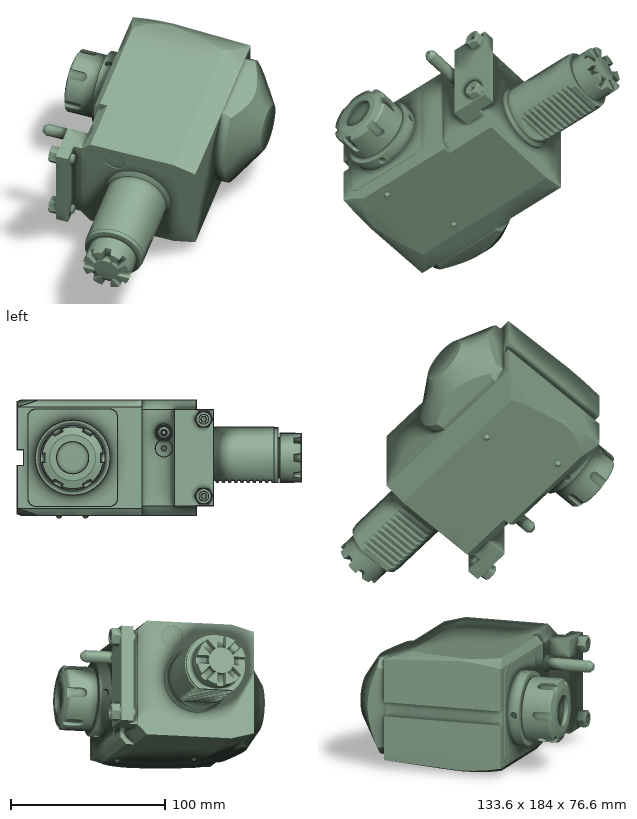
import cadquery as cq
import math


HOUSING_HALF_HEIGHT = 37.5
HOUSING_LENGTH = 116.1
HOUSING_LEFT = -41.7
HOUSING_RIGHT = 38.6
LEFT_BEVEL_X = 4.0
LEFT_BEVEL_Z = 4.5
FOOT_LENGTH = 35.2
FOOT_LEFT = -38.9
FOOT_BEVEL = 6.2
TAPER_START_X = 23.7
TAPER_ANGLE = 15.0
TAPER_SLOPE = math.tan(math.radians(TAPER_ANGLE))
RIGHT_HALF_HEIGHT = HOUSING_HALF_HEIGHT - (HOUSING_RIGHT - TAPER_START_X) * TAPER_SLOPE

CROWN_DEPTH = 12.7
CROWN_MID_X = -29.0
CROWN_PEAK_X = -14.0
CROWN_REAR_LEFT_Z = HOUSING_HALF_HEIGHT - LEFT_BEVEL_Z
CROWN_REAR_MID_Z = 35.2
CROWN_REAR_PEAK_Z = 36.3
CROWN_FRONT_LEFT_Z = 35.5
CROWN_FRONT_MID_Z = 39.9
CROWN_FRONT_PEAK_Z = 41.4
CROWN_FRONT_RIGHT_Z = 35.9
CUTTER_TOP_Z = HOUSING_HALF_HEIGHT + 10.0

REAR_SLOT_WIDTH = 10.0
REAR_SLOT_DEPTH = 4.0

SPINDLE_Y = 80.15
PAD_WIDTH = 58.0
PAD_HEIGHT = 63.0
PAD_CORNER = 5.0
PAD_THICKNESS = 0.5
RING_RADIUS = 24.3
RING_LEFT = -50.1
RING_HOLE_DIAMETER = 5.0
RING_HOLE_DEPTH = 4.0
RING_HOLE_COUNT = 4
RING_HOLE_X = -46.5
NUT_NECK_RADIUS = 19.0
NUT_RIGHT = -51.2
NUT_LEFT = -71.6
NUT_RADIUS = 20.9
NUT_FACE_RADIUS = 14.9
NUT_RIM_RADIUS = 20.0
NUT_RIM_SETBACK = 1.6
NUT_SHOULDER_SETBACK = 2.6
NUT_BORE_RADIUS = 10.4
NUT_BORE_DEPTH = 3.0
NUT_SLOT_COUNT = 6
NUT_SLOT_WIDTH = 6.2
NUT_SLOT_LENGTH = 13.7
NUT_SLOT_FLOOR_RADIUS = 17.9

CAP_RADIUS = 40.7
CAP_RIM_X = 45.0
CAP_END_X = 62.0
CAP_END_RADIUS = 15.8
CAP_REAR_Y = 111.3
CAP_HALF_HEIGHT = 32.7
CAP_TAPER_START_X = 41.4
CAP_TAPER_ANGLE = 17.0

FLANGE_RADIUS = 21.6
FLANGE_RIM = 1.2
FLANGE_LENGTH = 2.8
SHANK_GROOVE_RADIUS = 19.4
SHANK_GROOVE_LENGTH = 1.2
SHANK_RADIUS = 20.0
SHANK_BODY_LENGTH = 50.2
SHANK_TIP_RADIUS = 19.5
SHANK_LENGTH = 52.8
DRIVER_NECK_RADIUS = 13.0
DRIVER_START = 54.0
DRIVER_RADIUS = 16.0
DRIVER_END = 67.9
DRIVER_HUB_RADIUS = 8.4
DRIVER_SLOT_COUNT = 8
DRIVER_SLOT_FLOOR = 4.2
DRIVER_SLOT_MOUTH = 5.7
DRIVER_SLOT_DEPTH = 4.7

RACK_TIP_Z = -16.2
RACK_ROOT_Z = -14.6
RACK_PITCH = 4.0
RACK_FIRST_GROOVE_Y = -11.5
RACK_GROOVE_COUNT = 10
RACK_GROOVE_TOP = 3.0
RACK_GROOVE_FLOOR = 1.6
RACK_RUNOUT_Y = -4.5

BAR_LEFT = -52.7
BAR_LEG_RIGHT = -44.4
BAR_TOP_Y = 14.3
BAR_STEP_Y = 0.6
BAR_BOTTOM_Y = -11.1
BAR_HALF_HEIGHT = 31.1
SCREW_Y = -4.7
SCREW_Z = 24.9
SCREW_HEAD_FLATS = 10.2
SCREW_HEAD_HEIGHT = 5.7
SCREW_FACE_RADIUS = 4.9
SCREW_CROWN_LENGTH = 1.0
SCREW_RADIUS = 3.2
SCREW_TIP_RADIUS = 2.2
SCREW_TIP_LENGTH = 0.9
SCREW_END_X = -42.0
SCREW_RECESS_RADIUS = 3.2
SCREW_SOCKET_FLATS = 3.5
SCREW_RECESS_DEPTH = 0.6
SCREW_SOCKET_DEPTH = 2.5

PIN_Y = 21.1
PIN_Z = 16.3
PIN_RADIUS = 3.9
PIN_END_X = -71.6
PIN_TIP_RADIUS = 2.0
PIN_TIP_LENGTH = 2.6
PIN_COLLAR_RADIUS = 5.6
PIN_COLLAR_LENGTH = 2.0
PIN_COLLAR_BEVEL = 1.0
PIN_SOCKET_FLATS = 2.5
PIN_SOCKET_DEPTH = 2.0
PLUG_Z = 6.1
PLUG_RADIUS = 5.6
PLUG_DEPTH = 0.3
PLUG_SOCKET_FLATS = 3.2
PLUG_SOCKET_DEPTH = 2.0

RECESS_X = -16.2
RECESS_Z = 27.6
RECESS_RADIUS = 7.5
RECESS_DEPTH = 0.5
NIPPLE_PLACES = ((-30.4, 89.0), (16.6, 71.8))
NIPPLE_RADIUS = 2.0
NIPPLE_TIP_RADIUS = 0.6
NIPPLE_HEIGHT = 1.6

OVERLAP = 1.0
HEX_CORNER_RATIO = 2.0 / math.sqrt(3.0)


def x_cylinder(x_start, x_end, radius, y, z):
    """Cylinder along X between two X positions."""
    plane = cq.Workplane("YZ", origin=(x_start, y, z))
    return plane.circle(radius).extrude(x_end - x_start)


def x_cone(x_start, x_end, start_radius, end_radius, y, z):
    """Truncated cone along X between two X positions."""
    length = abs(x_end - x_start)
    direction = cq.Vector(math.copysign(1, x_end - x_start), 0, 0)
    cone = cq.Solid.makeCone(start_radius, end_radius, length, cq.Vector(x_start, y, z), direction)
    return cq.Workplane(obj=cone)


def x_hexagon(x_start, x_end, flats, y, z):
    """Hexagonal prism along X with corners pointing along Y."""
    plane = cq.Workplane("YZ", origin=(x_start, y, z))
    return plane.polygon(6, flats * HEX_CORNER_RATIO).extrude(x_end - x_start)


def housing_prism(left, bevel_x, bevel_z, y_start, y_end):
    """Length of housing with bevelled left edges and a tapered right side."""
    half = HOUSING_HALF_HEIGHT
    outline = [
        (left, half - bevel_z),
        (left + bevel_x, half),
        (TAPER_START_X, half),
        (HOUSING_RIGHT, RIGHT_HALF_HEIGHT),
        (HOUSING_RIGHT, -RIGHT_HALF_HEIGHT),
        (TAPER_START_X, -half),
        (left + bevel_x, -half),
        (left, -half + bevel_z),
    ]
    plane = cq.Workplane("XZ", origin=(0, y_start, 0))
    return plane.polyline(outline).close().extrude(y_start - y_end)


def crown_section(plane, left_z, mid_z, peak_z, right_z):
    """Outline of the material above the crown on one cross plane."""
    return (
        plane.moveTo(HOUSING_LEFT, left_z)
        .threePointArc((CROWN_MID_X, mid_z), (CROWN_PEAK_X, peak_z))
        .lineTo(HOUSING_RIGHT, right_z)
        .lineTo(HOUSING_RIGHT, CUTTER_TOP_Z)
        .lineTo(HOUSING_LEFT, CUTTER_TOP_Z)
        .close()
    )


def crown_cutter():
    """Material above the crowned upper rear edge."""
    rear = cq.Workplane("XZ", origin=(0, HOUSING_LENGTH, 0))
    rear_section = crown_section(
        rear, CROWN_REAR_LEFT_Z, CROWN_REAR_MID_Z, CROWN_REAR_PEAK_Z, RIGHT_HALF_HEIGHT
    )
    front = rear_section.workplane(offset=CROWN_DEPTH)
    both_sections = crown_section(
        front, CROWN_FRONT_LEFT_Z, CROWN_FRONT_MID_Z, CROWN_FRONT_PEAK_Z, CROWN_FRONT_RIGHT_Z
    )
    return both_sections.loft(ruled=True)


def make_housing():
    main = housing_prism(HOUSING_LEFT, LEFT_BEVEL_X, LEFT_BEVEL_Z, FOOT_LENGTH, HOUSING_LENGTH)
    foot = housing_prism(FOOT_LEFT, FOOT_BEVEL, FOOT_BEVEL, 0, FOOT_LENGTH)
    cutter = crown_cutter()
    slot_plane = cq.Workplane("XY", origin=(HOUSING_LEFT, HOUSING_LENGTH - REAR_SLOT_DEPTH, 0))
    slot_length = HOUSING_RIGHT - HOUSING_LEFT
    slot = slot_plane.box(slot_length, REAR_SLOT_DEPTH, REAR_SLOT_WIDTH, centered=(False, False, True))
    recess_plane = cq.Workplane("XZ", origin=(RECESS_X, 0, RECESS_Z))
    recess = recess_plane.circle(RECESS_RADIUS).extrude(-RECESS_DEPTH)
    body = main.union(foot)
    return body.cut(cutter).cut(cutter.mirror("XY")).cut(slot).cut(recess)


def make_pad_and_ring():
    pad = (
        cq.Workplane("YZ", origin=(HOUSING_LEFT + OVERLAP, SPINDLE_Y, 0))
        .rect(PAD_WIDTH, PAD_HEIGHT)
        .extrude(-OVERLAP - PAD_THICKNESS)
        .edges("|X")
        .fillet(PAD_CORNER)
    )
    ring = x_cylinder(RING_LEFT, HOUSING_LEFT + OVERLAP, RING_RADIUS, SPINDLE_Y, 0)
    hole = (
        cq.Workplane("XY", origin=(RING_HOLE_X, SPINDLE_Y, RING_RADIUS - RING_HOLE_DEPTH))
        .circle(RING_HOLE_DIAMETER / 2)
        .extrude(RING_HOLE_DEPTH + OVERLAP)
    )
    for index in range(RING_HOLE_COUNT):
        ring = ring.cut(turn_about_spindle(hole, index * 360 / RING_HOLE_COUNT))
    return pad.union(ring)


def turn_about_spindle(shape, angle):
    return shape.rotate((0, SPINDLE_Y, 0), (1, SPINDLE_Y, 0), angle)


def nut_slot():
    """Round-ended wrench slot, open at the nut face, on the +Y side."""
    floor = cq.Workplane("XZ", origin=(0, SPINDLE_Y + NUT_SLOT_FLOOR_RADIUS, 0))
    half = NUT_SLOT_WIDTH / 2
    round_centre_x = NUT_LEFT + NUT_SLOT_LENGTH - half
    outline = (
        floor.moveTo(NUT_LEFT - OVERLAP, half)
        .lineTo(round_centre_x, half)
        .threePointArc((round_centre_x + half, 0), (round_centre_x, -half))
        .lineTo(NUT_LEFT - OVERLAP, -half)
        .close()
    )
    return outline.extrude(-NUT_RADIUS)


def make_nut():
    profile = [
        (RING_LEFT + OVERLAP, 0),
        (RING_LEFT + OVERLAP, NUT_NECK_RADIUS),
        (NUT_RIGHT, NUT_NECK_RADIUS),
        (NUT_RIGHT, NUT_RADIUS),
        (NUT_LEFT + NUT_SHOULDER_SETBACK, NUT_RADIUS),
        (NUT_LEFT + NUT_RIM_SETBACK, NUT_RIM_RADIUS),
        (NUT_LEFT, NUT_FACE_RADIUS),
        (NUT_LEFT, NUT_BORE_RADIUS),
        (NUT_LEFT + NUT_BORE_DEPTH, NUT_BORE_RADIUS),
        (NUT_LEFT + NUT_BORE_DEPTH, 0),
    ]
    plane = cq.Workplane("XY", origin=(0, SPINDLE_Y, 0))
    nut = plane.polyline(profile).close().revolve(360, (0, 0, 0), (1, 0, 0))
    for index in range(NUT_SLOT_COUNT):
        nut = nut.cut(turn_about_spindle(nut_slot(), index * 360 / NUT_SLOT_COUNT))
    return nut


def make_cap():
    start_x = HOUSING_RIGHT - OVERLAP
    disc = x_cylinder(start_x, CAP_RIM_X, CAP_RADIUS, SPINDLE_Y, 0)
    cone = x_cone(CAP_RIM_X, CAP_END_X, CAP_RADIUS, CAP_END_RADIUS, SPINDLE_Y, 0)
    taper_drop = (CAP_END_X - CAP_TAPER_START_X) * math.tan(math.radians(CAP_TAPER_ANGLE))
    end_half = CAP_HALF_HEIGHT - taper_drop
    front_y = SPINDLE_Y - CAP_RADIUS
    envelope = (
        cq.Workplane("XZ", origin=(0, front_y, 0))
        .polyline([
            (start_x, CAP_HALF_HEIGHT),
            (CAP_TAPER_START_X, CAP_HALF_HEIGHT),
            (CAP_END_X, end_half),
            (CAP_END_X, -end_half),
            (CAP_TAPER_START_X, -CAP_HALF_HEIGHT),
            (start_x, -CAP_HALF_HEIGHT),
        ])
        .close()
        .extrude(front_y - CAP_REAR_Y)
    )
    return disc.union(cone).intersect(envelope)


def rack_cutter():
    """Flat under the shank with a sloped run-out and trapezoidal tooth gaps."""
    width = 2 * SHANK_RADIUS
    runout_length = SHANK_RADIUS + RACK_TIP_Z
    flat = [
        (RACK_RUNOUT_Y - runout_length, RACK_TIP_Z),
        (RACK_RUNOUT_Y, -SHANK_RADIUS),
        (RACK_RUNOUT_Y, -SHANK_RADIUS - OVERLAP),
        (-SHANK_LENGTH, -SHANK_RADIUS - OVERLAP),
        (-SHANK_LENGTH, RACK_TIP_Z),
    ]
    plane = cq.Workplane("YZ")
    cutter = plane.polyline(flat).close().extrude(width / 2, both=True)
    for index in range(RACK_GROOVE_COUNT):
        y = RACK_FIRST_GROOVE_Y - index * RACK_PITCH
        gap = [
            (y - RACK_GROOVE_TOP / 2, RACK_TIP_Z),
            (y - RACK_GROOVE_FLOOR / 2, RACK_ROOT_Z),
            (y + RACK_GROOVE_FLOOR / 2, RACK_ROOT_Z),
            (y + RACK_GROOVE_TOP / 2, RACK_TIP_Z),
        ]
        cutter = cutter.union(plane.polyline(gap).close().extrude(width / 2, both=True))
    return cutter


def make_shank():
    groove_end = FLANGE_LENGTH + SHANK_GROOVE_LENGTH
    profile = [
        (0, OVERLAP),
        (FLANGE_RADIUS, OVERLAP),
        (FLANGE_RADIUS, -FLANGE_RIM),
        (SHANK_RADIUS, -FLANGE_LENGTH),
        (SHANK_GROOVE_RADIUS, -FLANGE_LENGTH),
        (SHANK_GROOVE_RADIUS, -groove_end),
        (SHANK_RADIUS, -groove_end),
        (SHANK_RADIUS, -SHANK_BODY_LENGTH),
        (SHANK_TIP_RADIUS, -SHANK_BODY_LENGTH),
        (SHANK_TIP_RADIUS, -SHANK_LENGTH),
        (0, -SHANK_LENGTH),
    ]
    shank = cq.Workplane("XY").polyline(profile).close().revolve(360, (0, 0, 0), (0, 1, 0))
    return shank.cut(rack_cutter())


def make_driver():
    """Slotted drive coupling at the end of the shank."""
    neck_plane = cq.Workplane("XZ", origin=(0, OVERLAP - SHANK_LENGTH, 0))
    neck = neck_plane.circle(DRIVER_NECK_RADIUS).extrude(DRIVER_START - SHANK_LENGTH + OVERLAP)
    head_plane = cq.Workplane("XZ", origin=(0, -DRIVER_START, 0))
    head = head_plane.circle(DRIVER_RADIUS).extrude(DRIVER_END - DRIVER_START)
    floor_y = DRIVER_SLOT_DEPTH - DRIVER_END
    hub = cq.Workplane("XZ", origin=(0, floor_y, 0)).circle(DRIVER_HUB_RADIUS).extrude(DRIVER_SLOT_DEPTH)
    slot_profile = [
        (floor_y, DRIVER_SLOT_FLOOR / 2),
        (-DRIVER_END, DRIVER_SLOT_MOUTH / 2),
        (-DRIVER_END, -DRIVER_SLOT_MOUTH / 2),
        (floor_y, -DRIVER_SLOT_FLOOR / 2),
    ]
    slot = cq.Workplane("YZ").polyline(slot_profile).close().extrude(DRIVER_RADIUS + OVERLAP)
    for index in range(DRIVER_SLOT_COUNT):
        head = head.cut(slot.rotate((0, 0, 0), (0, 1, 0), index * 360 / DRIVER_SLOT_COUNT))
    return head.union(hub).union(neck)


def bar_screw(z):
    """Hexagon-head screw through the leg of the clamping bar."""
    head_x = BAR_LEFT - SCREW_HEAD_HEIGHT
    thread_end_x = SCREW_END_X - SCREW_TIP_LENGTH
    crown_end_x = head_x + SCREW_CROWN_LENGTH
    head_radius = SCREW_HEAD_FLATS * HEX_CORNER_RATIO / 2
    hexagon = x_hexagon(head_x, BAR_LEFT + OVERLAP, SCREW_HEAD_FLATS, SCREW_Y, z)
    crown = x_cone(head_x, crown_end_x, SCREW_FACE_RADIUS, head_radius, SCREW_Y, z)
    head_core = x_cylinder(crown_end_x, BAR_LEFT + OVERLAP, head_radius, SCREW_Y, z)
    head = hexagon.intersect(crown.union(head_core))
    thread = x_cylinder(BAR_LEFT, thread_end_x, SCREW_RADIUS, SCREW_Y, z)
    tip = x_cone(thread_end_x, SCREW_END_X, SCREW_RADIUS, SCREW_TIP_RADIUS, SCREW_Y, z)
    recess = x_cylinder(head_x, head_x + SCREW_RECESS_DEPTH, SCREW_RECESS_RADIUS, SCREW_Y, z)
    socket = x_hexagon(head_x, head_x + SCREW_SOCKET_DEPTH, SCREW_SOCKET_FLATS, SCREW_Y, z)
    return head.union(thread).union(tip).cut(recess).cut(socket)


def make_clamping_bar():
    root_x = FOOT_LEFT + OVERLAP
    outline = [
        (BAR_LEFT, BAR_TOP_Y),
        (root_x, BAR_TOP_Y),
        (root_x, BAR_STEP_Y),
        (BAR_LEG_RIGHT, BAR_STEP_Y),
        (BAR_LEG_RIGHT, BAR_BOTTOM_Y),
        (BAR_LEFT, BAR_BOTTOM_Y),
    ]
    bar = cq.Workplane("XY").polyline(outline).close().extrude(BAR_HALF_HEIGHT, both=True)
    return bar.union(bar_screw(SCREW_Z)).union(bar_screw(-SCREW_Z))


def make_pin():
    taper_x = PIN_END_X + PIN_TIP_LENGTH
    collar_x = FOOT_LEFT - PIN_COLLAR_LENGTH
    bevel_x = collar_x + PIN_COLLAR_BEVEL
    stem = x_cylinder(taper_x, FOOT_LEFT + OVERLAP, PIN_RADIUS, PIN_Y, PIN_Z)
    tip = x_cone(taper_x, PIN_END_X, PIN_RADIUS, PIN_TIP_RADIUS, PIN_Y, PIN_Z)
    collar = x_cylinder(bevel_x, FOOT_LEFT + OVERLAP, PIN_COLLAR_RADIUS, PIN_Y, PIN_Z)
    bevel_radius = PIN_COLLAR_RADIUS - PIN_COLLAR_BEVEL
    bevel = x_cone(bevel_x, collar_x, PIN_COLLAR_RADIUS, bevel_radius, PIN_Y, PIN_Z)
    socket = x_hexagon(PIN_END_X, PIN_END_X + PIN_SOCKET_DEPTH, PIN_SOCKET_FLATS, PIN_Y, PIN_Z)
    return stem.union(tip).union(collar).union(bevel).cut(socket)


def plug_cutter():
    """Shallow round sink with a hexagon socket below the pin."""
    sink_floor_x = FOOT_LEFT + PLUG_DEPTH
    sink = x_cylinder(FOOT_LEFT, sink_floor_x, PLUG_RADIUS, PIN_Y, PLUG_Z)
    socket = x_hexagon(FOOT_LEFT, sink_floor_x + PLUG_SOCKET_DEPTH, PLUG_SOCKET_FLATS, PIN_Y, PLUG_Z)
    return sink.union(socket)


def make_nipple(x, y):
    base = cq.Vector(x, y, -HOUSING_HALF_HEIGHT)
    cone = cq.Solid.makeCone(NIPPLE_RADIUS, NIPPLE_TIP_RADIUS, NIPPLE_HEIGHT, base, cq.Vector(0, 0, -1))
    return cq.Workplane(obj=cone)


result = make_housing().cut(plug_cutter())
result = result.union(make_pad_and_ring()).union(make_nut()).union(make_cap())
result = result.union(make_shank()).union(make_driver())
result = result.union(make_clamping_bar()).union(make_pin())
for nipple_x, nipple_y in NIPPLE_PLACES:
    result = result.union(make_nipple(nipple_x, nipple_y))